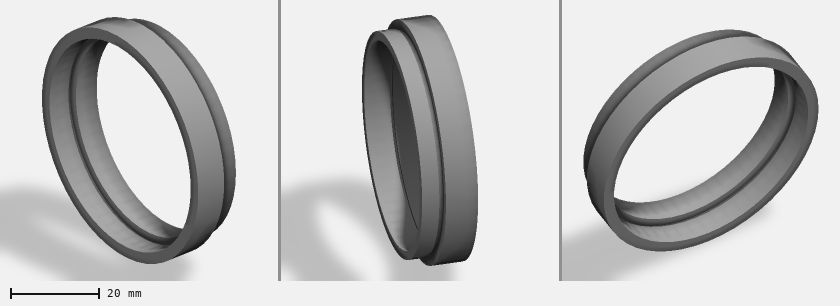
import cadquery as cq

flange_diameter = 56.0
spigot_diameter = 52.0
groove_diameter = 51.1
counterbore_diameter = 50.6
undercut_diameter = 51.9
bore_diameter = 47.8

flange_length = 7.5
groove_width = 1.0
spigot_length = 4.0
counterbore_depth = 6.5
undercut_width = 1.0
total_length = flange_length + groove_width + spigot_length


def disc(diameter, start, length):
    """Solid cylinder along +Y, beginning at Y = start."""
    return cq.Workplane("XZ", origin=(0, start, 0)).circle(diameter / 2).extrude(-length)


def outer_body():
    """Flange, relief groove and spigot stacked along the axis."""
    flange = disc(flange_diameter, 0, flange_length)
    groove_floor = disc(groove_diameter, flange_length, groove_width)
    spigot = disc(spigot_diameter, flange_length + groove_width, spigot_length)
    return flange.union(groove_floor).union(spigot)


def stepped_bore():
    """Through bore with a wider counterbore entering from the flange face, undercut at its floor."""
    bore = disc(bore_diameter, 0, total_length)
    counterbore = disc(counterbore_diameter, 0, counterbore_depth)
    undercut = disc(undercut_diameter, counterbore_depth - undercut_width, undercut_width)
    return bore.union(counterbore).union(undercut)


result = outer_body().cut(stepped_bore())